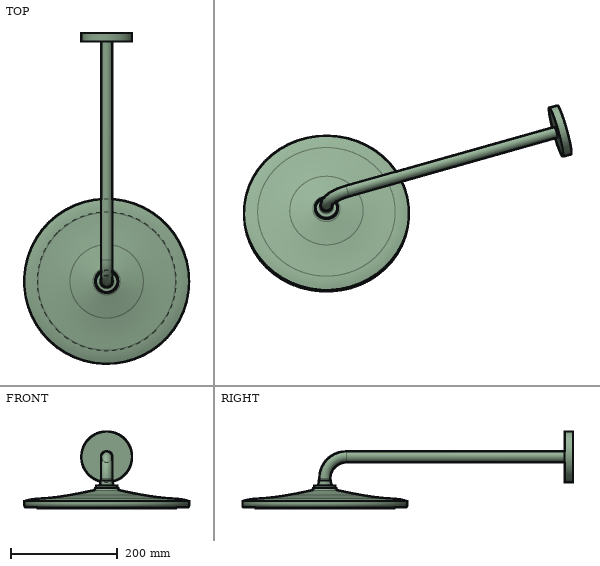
import cadquery as cq

head_diameter = 310.0
head_radius = head_diameter / 2
spray_plate_radius = 130.5
spray_plate_step = 2.0
rim_top = 13.5
rim_lower_round = 4.5

band_radius = 129.0
band_height = 18.5
band_mid_radius = 144.0
band_mid_height = 17.0
skirt_mid_radius = 99.0
skirt_mid_height = 21.0
crown_radius = 69.0
crown_height = 25.5
dome_top_radius = 25.5
dome_top_height = 34.0

base_radius = 22.0
base_top = 38.5
nut_radius = 20.2
nut_top = 43.5
nut_round = 0.95
collar_diameter = 23.0
collar_radius = collar_diameter / 2
collar_foot_radius = 12.5
collar_foot_round = 1.0
collar_top = 53.0

arm_diameter = 21.0
arm_radius = arm_diameter / 2
bend_radius = 40.5

overall_length = 621.0
overall_height = 145.0
plate_diameter = 95.5
plate_thickness = 16.0
plate_back = overall_length - head_radius
plate_front = plate_back - plate_thickness
arm_height = overall_height - plate_diameter / 2
bend_start = arm_height - bend_radius


def make_head():
    """Revolve the disc with its dome, then add the connector."""
    disc = (
        cq.Workplane("XZ")
        .lineTo(spray_plate_radius, 0)
        .lineTo(spray_plate_radius, spray_plate_step)
        .lineTo(head_radius - rim_lower_round, spray_plate_step)
        .tangentArcPoint((head_radius, spray_plate_step + rim_lower_round), relative=False)
        .lineTo(head_radius, rim_top)
        .threePointArc((band_mid_radius, band_mid_height), (band_radius, band_height))
        .threePointArc((skirt_mid_radius, skirt_mid_height), (crown_radius, crown_height))
        .tangentArcPoint((dome_top_radius, dome_top_height), relative=False)
        .lineTo(0, dome_top_height)
        .close()
        .revolve(360, (0, 0, 0), (0, 1, 0))
    )
    return disc.union(make_connector())


def make_connector():
    """Revolve the base ring with its hollow foot, the rounded nut and the collar."""
    foot_round = dome_top_radius - base_radius
    return (
        cq.Workplane("XZ")
        .moveTo(0, dome_top_height)
        .lineTo(0, collar_top)
        .lineTo(collar_radius, collar_top)
        .lineTo(collar_foot_radius, nut_top + collar_foot_round)
        .tangentArcPoint((collar_foot_radius + collar_foot_round, nut_top), relative=False)
        .lineTo(nut_radius - nut_round, nut_top)
        .tangentArcPoint((nut_radius, nut_top - nut_round), relative=False)
        .lineTo(nut_radius, base_top)
        .lineTo(base_radius, base_top)
        .lineTo(base_radius, dome_top_height + foot_round)
        .tangentArcPoint((dome_top_radius, dome_top_height), relative=False)
        .close()
        .revolve(360, (0, 0, 0), (0, 1, 0))
    )


def make_arm():
    """Sweep the round bar up from the collar, through the bend and back to the plate."""
    path = (
        cq.Workplane("YZ")
        .moveTo(0, collar_top)
        .lineTo(0, bend_start)
        .radiusArc((bend_radius, arm_height), bend_radius)
        .lineTo(plate_front, arm_height)
    )
    return cq.Workplane("XY", origin=(0, 0, collar_top)).circle(arm_radius).sweep(path)


def make_wall_plate():
    """Extrude the wall disc forward from its back face."""
    return (
        cq.Workplane("XZ", origin=(0, plate_back, arm_height))
        .circle(plate_diameter / 2)
        .extrude(plate_thickness)
    )


head = make_head()
arm = make_arm()
wall_plate = make_wall_plate()

result = cq.Compound.makeCompound([head.val(), arm.val(), wall_plate.val()])